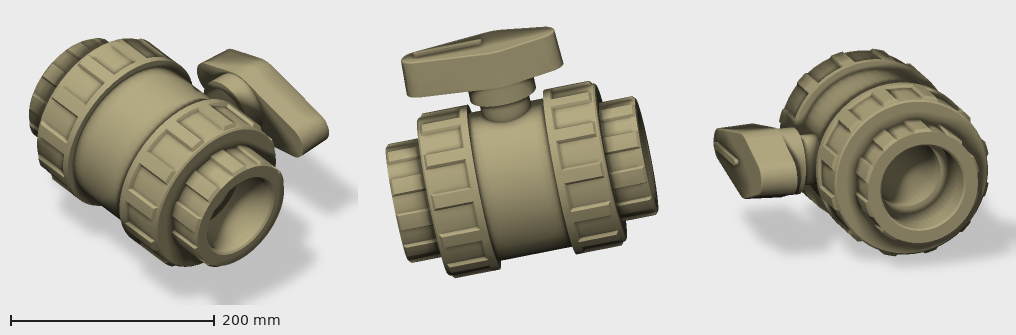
import cadquery as cq
import math

half_length = 125.0
nut_inner = 38.2
nut_outer = 89.2

body_radius = 148.5 / 2
bore_radius = 68.0 / 2
socket_radius = 85.0 / 2
socket_depth = 50.5
socket_chamfer = 1.8

nut_radius = 158.5 / 2
nut_grip_radius = 165.0 / 2
nut_edge_chamfer = 1.8
nut_collar_width = 7.0
nut_grip_inset = 3.2
nut_grip_slope = 2.5
nut_grip_count = 12
nut_grip_top_width = 12.2
nut_grip_base_width = 16.0

end_radius = 56.8
end_grip_radius = 59.5
end_grip_count = 10
end_grip_top_width = 15.0
end_grip_base_width = 17.5

overlap = 2.5

neck_radius = 49.5 / 2
stem_collar_radius = 66.0 / 2
stem_collar_start = 91.0
handle_start = 110.0
handle_height = 36.5
handle_hub_radius = 34.5
handle_tip_radius = 18.0
handle_short_reach = 46.5
handle_long_reach = 74.8
handle_draft = 2.6
handle_edge_fillet = 1.5

pointer_top = 150.5
pointer_width = 6.2
pointer_start = 9.5
pointer_end = 78.0


nut_grip_end = nut_outer - nut_grip_inset
nut_collar_end = nut_inner + nut_collar_width
end_grip_height = end_grip_radius - end_radius


def x_cylinder(radius, start, end):
    return cq.Workplane("YZ").workplane(offset=start).circle(radius).extrude(end - start)


def y_cylinder(radius, start, end):
    return cq.Workplane("XZ").workplane(offset=-start).circle(radius).extrude(start - end)


def revolve_about_x(points):
    return cq.Workplane("XY").polyline(points).close().revolve(360, (0, 0, 0), (1, 0, 0))


def rib_bars(count, first_angle, base_radius, top_radius, base_width, top_width, start, end):
    """Ring of bars along X with sloping flanks, reaching a little past the top radius."""
    flank_slope = (base_width - top_width) / 2 / (top_radius - base_radius)
    root_radius = base_radius - overlap
    crest_radius = top_radius + overlap
    root_half_width = base_width / 2 + flank_slope * overlap
    crest_half_width = top_width / 2 - flank_slope * overlap
    section = [
        (root_radius, -root_half_width),
        (crest_radius, -crest_half_width),
        (crest_radius, crest_half_width),
        (root_radius, root_half_width),
    ]
    bar = cq.Workplane("YZ").workplane(offset=start).polyline(section).close().extrude(end - start)
    angles = [first_angle + index * 360 / count for index in range(count)]
    bars = [bar.rotate((0, 0, 0), (1, 0, 0), angle).val() for angle in angles]
    return cq.Workplane("XY").newObject(bars).combine()


def rib_envelope(base_radius, top_radius, start, end, slope):
    """Round space that the ribs may fill, with a sloping outer end at `end`."""
    return revolve_about_x([
        (start, 0),
        (start, top_radius),
        (end - slope, top_radius),
        (end, base_radius),
        (end, 0),
    ])


def union_nut():
    grip_height = nut_grip_radius - nut_radius
    core = revolve_about_x([
        (nut_inner, 0),
        (nut_inner, nut_radius),
        (nut_outer - nut_edge_chamfer, nut_radius),
        (nut_outer, nut_radius - nut_edge_chamfer),
        (nut_outer, 0),
    ])
    collar = revolve_about_x([
        (nut_inner, 0),
        (nut_inner, nut_grip_radius + grip_height),
        (nut_collar_end - nut_grip_slope, nut_grip_radius + grip_height),
        (nut_collar_end + nut_grip_slope, nut_radius),
        (nut_collar_end + nut_grip_slope, 0),
    ])
    bars = rib_bars(
        nut_grip_count, 180 / nut_grip_count, nut_radius, nut_grip_radius,
        nut_grip_base_width, nut_grip_top_width, nut_inner, nut_grip_end,
    )
    envelope = rib_envelope(nut_radius, nut_grip_radius, nut_inner, nut_grip_end, nut_grip_slope)
    return core.union(envelope.intersect(collar.union(bars)))


def end_connector():
    core = x_cylinder(end_radius, nut_outer, half_length)
    bars = rib_bars(
        end_grip_count, 90, end_radius, end_grip_radius,
        end_grip_base_width, end_grip_top_width, nut_outer, half_length,
    )
    envelope = rib_envelope(end_radius, end_grip_radius, nut_outer, half_length, end_grip_height)
    return core.union(envelope.intersect(bars))


def socket():
    return revolve_about_x([
        (half_length - socket_depth, 0),
        (half_length - socket_depth, socket_radius),
        (half_length - socket_chamfer, socket_radius),
        (half_length, socket_radius + socket_chamfer),
        (half_length, 0),
    ])


def handle():
    """Drafted grip: a round hub joined by tangent flanks to a smaller round at each end."""
    radius_drop = handle_hub_radius - handle_tip_radius

    def tangent_point(radius, center_x, reach, direction):
        lean = math.asin(radius_drop / reach)
        return (center_x + direction * radius * math.sin(lean), radius * math.cos(lean))

    def below(point):
        return (point[0], -point[1])

    hub_left = tangent_point(handle_hub_radius, 0, handle_short_reach, -1)
    hub_right = tangent_point(handle_hub_radius, 0, handle_long_reach, 1)
    tip_left = tangent_point(handle_tip_radius, -handle_short_reach, handle_short_reach, -1)
    tip_right = tangent_point(handle_tip_radius, handle_long_reach, handle_long_reach, 1)
    outline = (
        cq.Workplane("XZ", origin=(0, handle_start, 0))
        .moveTo(*hub_left)
        .threePointArc((0, handle_hub_radius), hub_right)
        .lineTo(*tip_right)
        .threePointArc((handle_long_reach + handle_tip_radius, 0), below(tip_right))
        .lineTo(*below(hub_right))
        .threePointArc((0, -handle_hub_radius), below(hub_left))
        .lineTo(*below(tip_left))
        .threePointArc((-handle_short_reach - handle_tip_radius, 0), tip_left)
        .close()
    )
    grip = outline.extrude(-handle_height, taper=handle_draft)
    return grip.faces(">Y").edges().fillet(handle_edge_fillet)


def pointer():
    base = handle_start + handle_height / 2
    return (
        cq.Workplane("XZ", origin=((pointer_start + pointer_end) / 2, base, 0))
        .slot2D(pointer_end - pointer_start, pointer_width)
        .extrude(base - pointer_top)
    )


half_valve = x_cylinder(body_radius, 0, nut_inner).union(union_nut()).union(end_connector())
half_valve = half_valve.cut(socket())
valve = half_valve.union(half_valve.mirror("YZ"))
valve = valve.union(y_cylinder(neck_radius, 0, stem_collar_start))
valve = valve.cut(x_cylinder(bore_radius, -half_length, half_length))

stem_collar = y_cylinder(stem_collar_radius, stem_collar_start, handle_start)
result = valve.union(stem_collar).union(handle()).union(pointer())